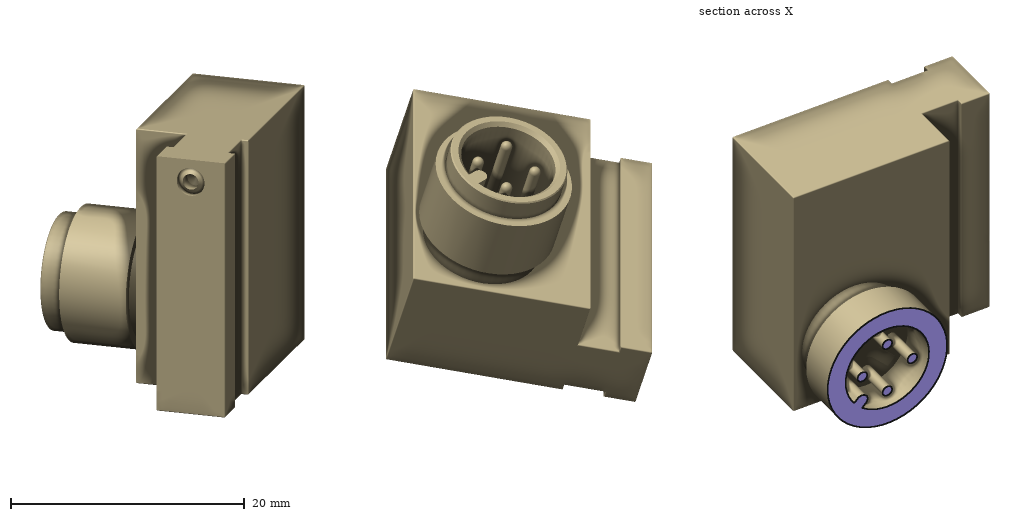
import cadquery as cq
import math


housing_width = 10.1
housing_height = 23.0
housing_back = 6.0
body_depth = 15.6
foot_start_depth = 19.2
total_depth = 22.0
foot_width = 6.2
web_left = 4.5
web_right_recess = 0.6
edge_radius = 0.1

barrel_length = 10.1
barrel_diameter = 10.3
collar_diameter = 12.0
collar_start = 2.0
collar_length = 6.0
barrel_edge_chamfer = 0.1
bore_diameter = 8.3
bore_depth = 8.0
mouth_diameter = 8.95
mouth_depth = 0.33

pin_diameter = 1.0
pin_circle_radius = 2.5
pin_tip_inset = 0.5
pin_count = 4

cross_arm_width = 1.07
cross_arm_reach = 3.5
cross_corner_radius = 0.8
cross_height = 0.1
key_width = 1.2
key_inner_reach = 3.0
key_angle = -45.0

screw_diameter = 2.5
screw_rim_diameter = 1.4
screw_top_gap = 2.0
screw_cone_depth = (screw_diameter - screw_rim_diameter) / 2
socket_depth = 1.2
socket_point_angle = 118.0

housing_bottom = -collar_diameter / 2
housing_top = housing_bottom + housing_height
body_front = housing_back - body_depth
foot_back = housing_back - foot_start_depth
foot_front = housing_back - total_depth
foot_left = housing_width - foot_width
web_right = housing_width - web_right_recess
tip_x = -barrel_length
floor_x = tip_x + bore_depth


def make_housing():
    outline = [
        (0, housing_back),
        (housing_width, housing_back),
        (housing_width, body_front),
        (web_right, body_front),
        (web_right, foot_back),
        (housing_width, foot_back),
        (housing_width, foot_front),
        (foot_left, foot_front),
        (foot_left, foot_back),
        (web_left, foot_back),
        (web_left, body_front),
        (0, body_front),
    ]
    housing = cq.Workplane("XY").workplane(offset=housing_bottom).polyline(outline).close()
    housing = housing.extrude(housing_height)
    outer_corners = [
        (0, housing_back),
        (housing_width, housing_back),
        (foot_left, foot_front),
        (housing_width, foot_front),
    ]
    rounded_edges = []
    for x, y in outer_corners:
        corner = cq.selectors.NearestToPointSelector((x, y, (housing_bottom + housing_top) / 2))
        rounded_edges.append(housing.edges("|Z").edges(corner).val())
    sharp_rim = housing.faces(">Z").edges("<Y").val()
    for edge in housing.faces("<Z or >Z").edges().vals():
        if not edge.isSame(sharp_rim):
            rounded_edges.append(edge)
    return housing.newObject(rounded_edges).fillet(edge_radius)


def disc(start_x, length, diameter):
    return cq.Workplane("YZ").workplane(offset=start_x).circle(diameter / 2).extrude(length)


def make_barrel():
    barrel = disc(tip_x, barrel_length, barrel_diameter).faces("<X").chamfer(barrel_edge_chamfer)
    barrel = barrel.union(disc(tip_x + collar_start, collar_length, collar_diameter))
    bore_radius = bore_diameter / 2
    bore_profile = [
        (tip_x, 0),
        (tip_x, mouth_diameter / 2),
        (tip_x + mouth_depth, bore_radius),
        (floor_x, bore_radius),
        (floor_x, 0),
    ]
    bore = cq.Workplane("XY").polyline(bore_profile).close().revolve(360, (0, 0, 0), (1, 0, 0))
    return barrel.cut(bore)


def make_pin(angle):
    pin_start = tip_x + pin_tip_inset
    y = pin_circle_radius * math.cos(math.radians(angle))
    z = pin_circle_radius * math.sin(math.radians(angle))
    radius = pin_diameter / 2
    shank = cq.Workplane("YZ", origin=(pin_start + radius, y, z)).circle(radius)
    shank = shank.extrude(floor_x - pin_start)
    dome = cq.Workplane("XY").sphere(radius).translate((pin_start + radius, y, z))
    return shank.union(dome)


def make_cross():
    plane = cq.Workplane("YZ").workplane(offset=floor_x - cross_height)
    cross = plane.rect(2 * cross_arm_reach, cross_arm_width).extrude(2 * cross_height)
    cross = cross.union(plane.rect(cross_arm_width, 2 * cross_arm_reach).extrude(2 * cross_height))
    inner = cross_arm_width
    inner_corners = cq.selectors.BoxSelector((floor_x - 1, -inner, -inner), (floor_x + 1, inner, inner))
    cross = cross.edges("|X").edges(inner_corners).fillet(cross_corner_radius)
    return cross.rotate((0, 0, 0), (1, 0, 0), 45)


def make_key():
    radius = key_width / 2
    nose = key_inner_reach
    outer = (bore_diameter + barrel_diameter) / 4
    plane = cq.Workplane("YZ").workplane(offset=tip_x)
    key = plane.moveTo(outer, -radius).lineTo(nose + radius, -radius)
    key = key.threePointArc((nose, 0), (nose + radius, radius)).lineTo(outer, radius).close()
    return key.extrude(bore_depth).rotate((0, 0, 0), (1, 0, 0), key_angle)


def make_screw_recess():
    profile = [
        (screw_rim_diameter / 2, 0),
        (screw_diameter / 2, 0),
        (screw_diameter / 2, screw_cone_depth),
    ]
    rim_radius = screw_rim_diameter / 2
    point_depth = rim_radius / math.tan(math.radians(socket_point_angle / 2))
    socket = [
        (0, 0),
        (rim_radius, 0),
        (rim_radius, socket_depth),
        (0, socket_depth + point_depth),
    ]
    plane = cq.Workplane("XY")
    ring = plane.polyline(profile).close().revolve(360, (0, 0, 0), (0, 1, 0))
    cone = plane.polyline(socket).close().revolve(360, (0, 0, 0), (0, 1, 0))
    return ring, cone


result = make_housing().union(make_barrel()).union(make_cross()).union(make_key())
for index in range(pin_count):
    result = result.union(make_pin(index * 360 / pin_count))
screw_center = ((foot_left + housing_width) / 2, foot_front, housing_top - screw_top_gap)
for cutter in make_screw_recess():
    result = result.cut(cutter.translate(screw_center))